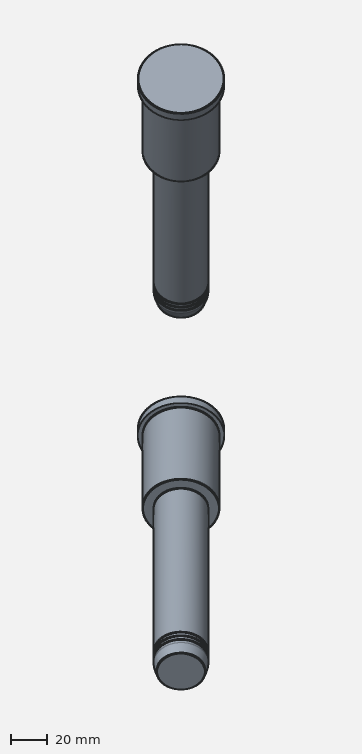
import cadquery as cq

total_length = 201.0
head_diameter = 47.0
head_thickness = 6.0
head_chamfer = 0.5
sleeve_diameter = 42.0
sleeve_length = 60.0
sleeve_chamfer = 0.5
shaft_diameter = 30.0

relief_width = 1.0
relief_depth = 0.2

groove_count = 3
groove_pitch = 3.0
groove_width = 1.0
groove_depth = 0.2
lowest_groove_center = 9.5

nose_length = 7.0
nose_end_diameter = 26.7
nose_bulge = 0.2
nose_end_chamfer = 0.5

head_bottom = total_length - head_thickness
sleeve_bottom = head_bottom - sleeve_length


def cylinder(diameter, bottom, top):
    """Solid cylinder on the Z axis between two levels."""
    return cq.Workplane("XY").workplane(offset=bottom).circle(diameter / 2).extrude(top - bottom)


def v_groove(diameter, center, width, depth):
    """Cutting ring that sinks a V-shaped groove into a cylinder of the given diameter."""
    radius = diameter / 2
    profile = cq.Workplane("XZ").polyline([
        (radius, center + width / 2),
        (radius - depth, center),
        (radius, center - width / 2),
        (radius + depth, center),
    ]).close()
    return profile.revolve(360, (0, 0, 0), (0, 1, 0))


def relief_groove(diameter, shoulder):
    """Relief groove whose upper edge meets the shoulder above it."""
    return v_groove(diameter, shoulder - relief_width / 2, relief_width, relief_depth)


def make_head():
    return cylinder(head_diameter, head_bottom, total_length).faces(">Z").chamfer(head_chamfer)


def make_sleeve():
    sleeve = cylinder(sleeve_diameter, sleeve_bottom, head_bottom)
    sleeve = sleeve.faces("<Z").chamfer(sleeve_chamfer)
    return sleeve.cut(relief_groove(sleeve_diameter, head_bottom))


def make_shaft():
    shaft = cylinder(shaft_diameter, nose_length, sleeve_bottom)
    shaft = shaft.cut(relief_groove(shaft_diameter, sleeve_bottom))
    for index in range(groove_count):
        center = lowest_groove_center + index * groove_pitch
        shaft = shaft.cut(v_groove(shaft_diameter, center, groove_width, groove_depth))
    return shaft


def make_nose():
    """Revolved nose whose side is a slightly convex arc, with a small chamfer at the tip."""
    shaft_radius = shaft_diameter / 2
    end_radius = nose_end_diameter / 2
    middle_radius = (shaft_radius + end_radius) / 2 + nose_bulge
    middle_level = (nose_length + nose_end_chamfer) / 2
    profile = (
        cq.Workplane("XZ")
        .lineTo(end_radius - nose_end_chamfer, 0)
        .lineTo(end_radius, nose_end_chamfer)
        .threePointArc((middle_radius, middle_level), (shaft_radius, nose_length))
        .lineTo(0, nose_length)
        .close()
    )
    return profile.revolve(360, (0, 0, 0), (0, 1, 0))


result = make_head().union(make_sleeve()).union(make_shaft()).union(make_nose())